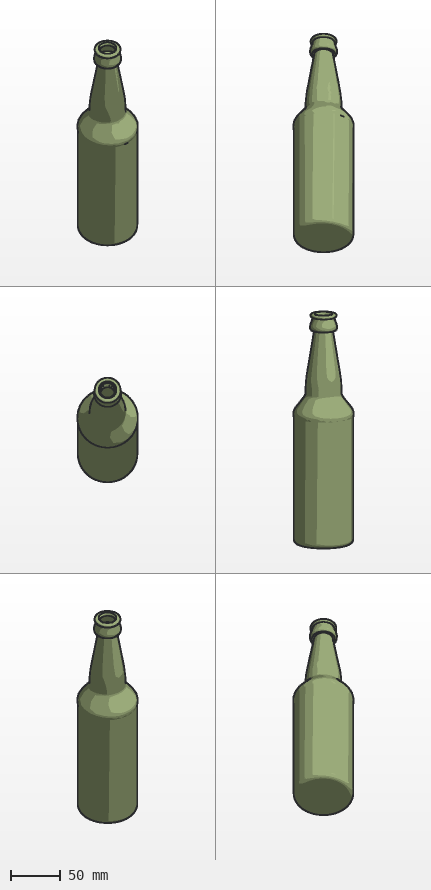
import cadquery as cq

total_height = 235.0
body_radius = 30.0
wall = 1.99
base_fillet = 5.0
neck_radius = 18.1
neck_top_radius = 9.5
neck_top_z = 218.0

shoulder_start = (body_radius, 130.0)
shoulder_bulge = (30.55, 133.0)
shoulder_slope_start = (27.2, 140.0)
shoulder_slope_end = (20.2, 149.0)
neck_blend = (18.25, 152.7)
neck_straight_start = (neck_radius, 156.0)
neck_straight_end = (18.0, 163.0)
neck_taper_start = (16.4, 176.0)
neck_taper_middle = (13.05, 196.5)
neck_top = (neck_top_radius, neck_top_z)

lip_height = 3.6
lip_radius = 13.1
lip_flat_radius = 11.2
lip_bottom_z = total_height - lip_height
lip_middle_z = total_height - lip_height / 2
collar_top_radius = 11.2
collar_middle = (12.5, 226.2)
collar_radius = 13.7
collar_widest_z = 221.3
collar_round_middle = (13.2, 219.2)
collar_bottom_radius = 11.6

mouth_radius = 8.9
throat_radius = 7.6
throat_z = total_height - 2.2
bead_bottom_radius = 8.2

neck_points = [
    shoulder_start,
    shoulder_bulge,
    shoulder_slope_start,
    shoulder_slope_end,
    neck_blend,
    neck_straight_start,
    neck_straight_end,
    neck_taper_start,
    neck_taper_middle,
    neck_top,
]
inner_curve_steps = 24


def inner_neck_points():
    """Points of the inner shoulder and neck, one wall thickness inside the outer curve."""
    outer_curve = cq.Edge.makeSpline(
        [cq.Vector(radius, 0, height) for radius, height in neck_points]
    )
    points = [(body_radius - wall, shoulder_start[1])]
    for step in range(1, inner_curve_steps):
        position = outer_curve.positionAt(step / inner_curve_steps)
        tangent = outer_curve.tangentAt(step / inner_curve_steps)
        points.append((position.x - wall * tangent.z, position.z + wall * tangent.x))
    points.append((neck_top_radius - wall, neck_top_z))
    return points


def base_profile(inset):
    """Base and body outline up to the shoulder, moved inward by the inset."""
    radius = body_radius - inset
    corner = base_fillet - inset
    return (
        cq.Workplane("XZ")
        .moveTo(0, inset)
        .lineTo(radius - corner, inset)
        .radiusArc((radius, base_fillet), -corner)
        .lineTo(radius, shoulder_start[1])
    )


def revolve_profile(profile):
    """Close a (radius, height) profile and revolve it about the Z axis."""
    return profile.close().revolve(360, (0, 0, 0), (0, 1, 0))


def make_outside():
    """Solid bottle with the collar and the lip."""
    profile = (
        base_profile(0)
        .spline(neck_points[1:], includeCurrent=True)
        .lineTo(collar_bottom_radius, neck_top_z)
        .spline(
            [
                collar_round_middle,
                (collar_radius, collar_widest_z),
                collar_middle,
                (collar_top_radius, lip_bottom_z),
            ],
            includeCurrent=True,
        )
        .threePointArc((lip_radius, lip_middle_z), (lip_flat_radius, total_height))
        .lineTo(0, total_height)
    )
    return revolve_profile(profile)


def make_cavity():
    """Inside of the bottle: it widens behind the collar and opens at the mouth."""
    profile = (
        base_profile(wall)
        .spline(inner_neck_points()[1:], includeCurrent=True)
        .lineTo(collar_radius - wall, collar_widest_z)
        .lineTo(bead_bottom_radius, lip_bottom_z)
        .threePointArc((throat_radius, throat_z), (mouth_radius, total_height))
        .lineTo(0, total_height)
    )
    return revolve_profile(profile)


result = make_outside().cut(make_cavity())